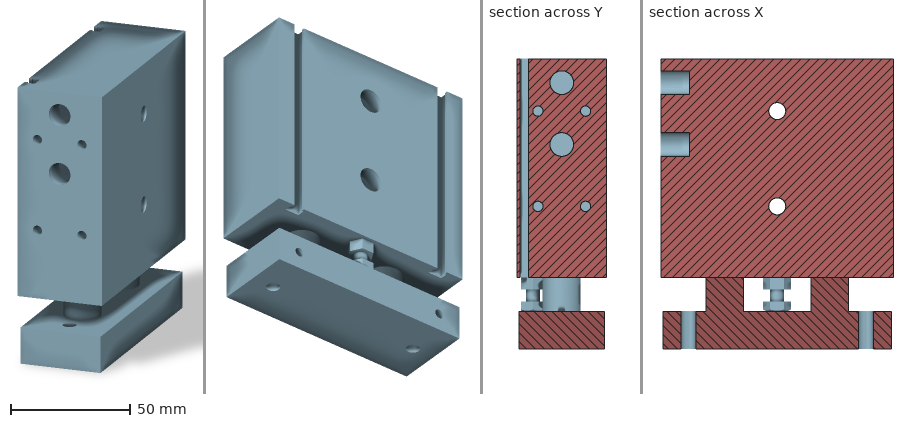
import cadquery as cq
import math

total_height = 122.0
housing_width = 38.0
housing_length = 98.0
housing_height = 92.0
plate_height = 16.0
plate_inset = 1.0
plate_width = housing_width - 2 * plate_inset
plate_length = housing_length - 2 * plate_inset
housing_bottom = total_height - housing_height
gap = housing_bottom - plate_height

side_face = -housing_width / 2
end_face = -housing_length / 2

upper_hole_drop = 22.0
hole_row_spacing = 40.0
hole_levels = [total_height - upper_hole_drop - row * hole_row_spacing for row in range(2)]
through_diameter = 7.0
counterbore_diameter = 11.0
counterbore_depth = 7.0
screw_hole_diameter = 4.1
screw_hole_depth = 10.0
screw_hole_spacing = 20.0
port_diameter = 9.8
port_depth = 12.0
upper_port_drop = 10.0
port_spacing = 26.0

slot_from_end = 10.9
slot_mouth_width = 5.0
slot_inner_width = 6.6
slot_lip = 1.5
slot_depth = 4.9

plate_hole_from_end = 10.7
plate_bolt_hole_diameter = 6.0
rod_diameter = 16.0
rod_spacing = 44.0

bolt_from_side_face = 7.0
bolt_shank_diameter = 6.0
hex_across_flats = 10.0
hex_across_corners = hex_across_flats / math.cos(math.pi / 6)
upper_hex_height = 5.0
lower_hex_height = 4.0
hex_chamfer_height = 0.6
hex_chamfer_angle = math.radians(30)


def block(width, length, height, bottom):
    """Rectangular block centred on the Z axis."""
    base = cq.Workplane("XY").workplane(offset=bottom)
    return base.rect(width, length).extrude(height)


def hole_along_x(diameter, start, depth, y, z):
    return cq.Workplane("YZ", origin=(start, y, z)).circle(diameter / 2).extrude(depth)


def hole_along_y(diameter, start, depth, x, z):
    return cq.Workplane("XZ", origin=(x, start, z)).circle(diameter / 2).extrude(-depth)


def slot_strip(width, depth, y):
    """Vertical strip of the given width sunk from the side face."""
    strip = cq.Workplane("XY", origin=(side_face, y, housing_bottom))
    return strip.rect(2 * depth, width).extrude(housing_height)


def t_slot(y):
    mouth = slot_strip(slot_mouth_width, slot_depth, y)
    undercut = slot_strip(slot_inner_width, slot_depth, y)
    lips = slot_strip(slot_inner_width, slot_lip, y)
    return undercut.cut(lips).union(mouth)


def make_housing():
    body = block(housing_width, housing_length, housing_height, housing_bottom)

    for side in (-1, 1):
        body = body.cut(t_slot(side * (housing_length / 2 - slot_from_end)))

    for z in hole_levels:
        body = body.cut(hole_along_x(through_diameter, side_face, housing_width, 0, z))
        body = body.cut(hole_along_x(counterbore_diameter, side_face, counterbore_depth, 0, z))
        for side in (-1, 1):
            x = side * screw_hole_spacing / 2
            body = body.cut(hole_along_y(screw_hole_diameter, end_face, screw_hole_depth, x, z))

    for row in range(2):
        z = total_height - upper_port_drop - row * port_spacing
        body = body.cut(hole_along_y(port_diameter, end_face, port_depth, 0, z))
    return body


def make_plate_with_rods():
    body = block(plate_width, plate_length, plate_height, 0)
    for side in (-1, 1):
        hole_y = side * (plate_length / 2 - plate_hole_from_end)
        bolt_hole = cq.Workplane("XY", origin=(0, hole_y, 0))
        bolt_hole = bolt_hole.circle(plate_bolt_hole_diameter / 2).extrude(plate_height)
        side_hole = hole_along_x(
            screw_hole_diameter, -plate_width / 2, screw_hole_depth, hole_y, plate_height / 2
        )
        rod = cq.Workplane("XY", origin=(0, side * rod_spacing / 2, plate_height))
        rod = rod.circle(rod_diameter / 2).extrude(gap)
        body = body.cut(bolt_hole).cut(side_hole).union(rod)
    return body


def hex_prism(x, bottom, height):
    """Hexagon with two flats facing along X."""
    base = cq.Workplane("XY", origin=(x, 0, bottom)).transformed(rotate=(0, 0, 90))
    return base.polygon(6, hex_across_corners).extrude(height)


def make_stop_bolt():
    x = side_face + bolt_from_side_face
    shank = cq.Workplane("XY", origin=(x, 0, plate_height))
    shank = shank.circle(bolt_shank_diameter / 2).extrude(gap)
    nut = hex_prism(x, housing_bottom - upper_hex_height, upper_hex_height)
    head = hex_prism(x, plate_height, lower_hex_height)

    corner_radius = hex_across_corners / 2
    seat_radius = corner_radius - hex_chamfer_height / math.tan(hex_chamfer_angle)
    cone_top_radius = seat_radius + lower_hex_height / math.tan(hex_chamfer_angle)
    cone = cq.Workplane("XY", origin=(x, 0, plate_height)).circle(seat_radius)
    cone = cone.workplane(offset=lower_hex_height).circle(cone_top_radius).loft()
    return shank.union(nut).union(head.intersect(cone))


housing = make_housing()
plate_with_rods = make_plate_with_rods()
stop_bolt = make_stop_bolt()

result = cq.Compound.makeCompound([housing.val(), plate_with_rods.val(), stop_bolt.val()])